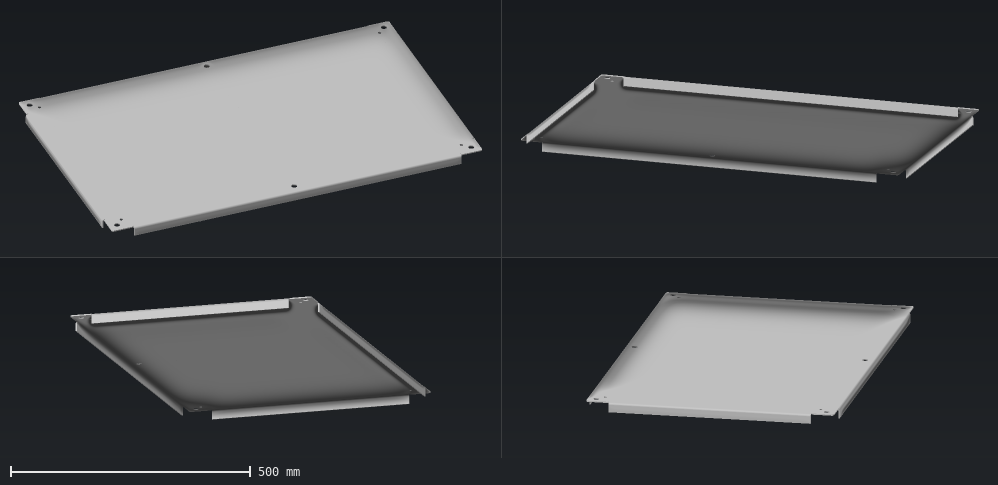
import cadquery as cq

width = 532.0
length = 837.0
height = 22.0

thickness = 2.5
bend_radius = 6.0
inner_bend_radius = bend_radius - thickness

edge_inset = 2.5
corner_radius = 4.0
flange_end_gap = 51.0
relief_width = 1.0
side_flange_length = length - 2 * flange_end_gap
end_flange_length = width - 2 * flange_end_gap

mounting_diameter = 12.5
mounting_inset = 21.0
pilot_diameter = 7.1
pilot_inset = 37.0


def make_panel():
    """Flat sheet with rounded corners, cut back to the bends, with a relief slit at each flange end."""
    sheet = (
        cq.Workplane("XY")
        .rect(width - 2 * edge_inset, length - 2 * edge_inset)
        .extrude(-thickness)
        .edges("|Z")
        .fillet(corner_radius)
    )
    bend_x = (width - bend_radius) / 2
    bend_y = (length - bend_radius) / 2
    side_bends = (
        cq.Workplane("XY")
        .pushPoints([(side * bend_x, 0) for side in (-1, 1)])
        .rect(bend_radius, side_flange_length + 2 * relief_width)
        .extrude(-thickness)
    )
    end_bends = (
        cq.Workplane("XY")
        .pushPoints([(0, side * bend_y) for side in (-1, 1)])
        .rect(end_flange_length + 2 * relief_width, bend_radius)
        .extrude(-thickness)
    )
    return sheet.cut(side_bends).cut(end_bends)


def make_channel(span, flange_length):
    """Sheet bent down along both sides; span is across X and the flanges run along Y."""
    outer = (
        cq.Workplane("XY")
        .box(span, flange_length, height, centered=(True, True, False))
        .edges("|Y and >Z")
        .fillet(bend_radius)
    )
    inner = (
        cq.Workplane("XY")
        .box(span - 2 * thickness, flange_length, height - thickness, centered=(True, True, False))
        .edges("|Y and >Z")
        .fillet(inner_bend_radius)
    )
    return outer.cut(inner).translate((0, 0, -height))


def drill(body, points, diameter):
    """Cut round holes through the sheet."""
    holes = cq.Workplane("XY").pushPoints(points).circle(diameter / 2).extrude(-thickness)
    return body.cut(holes)


side_flanges = make_channel(width, side_flange_length)
end_flanges = make_channel(length, end_flange_length).rotate((0, 0, 0), (0, 0, 1), 90)
body = make_panel().union(side_flanges).union(end_flanges)

mounting_x = width / 2 - mounting_inset
mounting_y = length / 2 - mounting_inset
mounting_points = [(x, y) for x in (-mounting_x, mounting_x) for y in (-mounting_y, 0, mounting_y)]

pilot_x = width / 2 - pilot_inset
pilot_y = length / 2 - pilot_inset
pilot_points = [(x, y) for x in (-pilot_x, pilot_x) for y in (-pilot_y, pilot_y)]

body = drill(body, mounting_points, mounting_diameter)
result = drill(body, pilot_points, pilot_diameter)